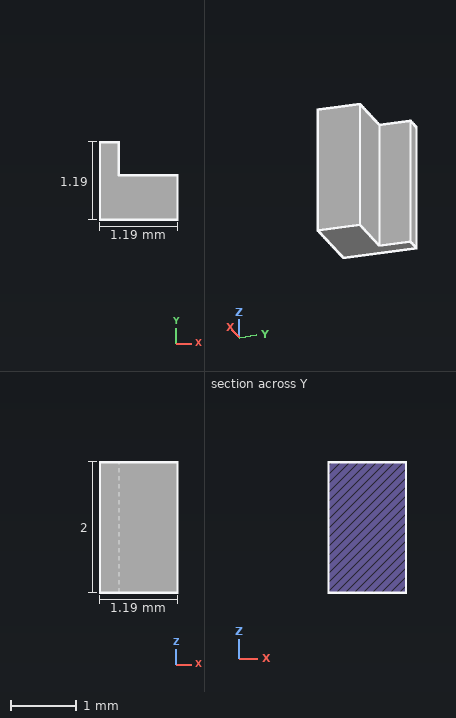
import cadquery as cq

width = 1.19
depth = 1.19
height = 2.0

thin_leg = 0.29
thick_leg = 0.685


def l_section_prism():
    """Upright prism with an L-shaped section, outer corner at the origin."""
    outline = [
        (0, 0),
        (width, 0),
        (width, thick_leg),
        (thin_leg, thick_leg),
        (thin_leg, depth),
        (0, depth),
    ]
    return cq.Workplane("XY").polyline(outline).close().extrude(height)


result = l_section_prism()